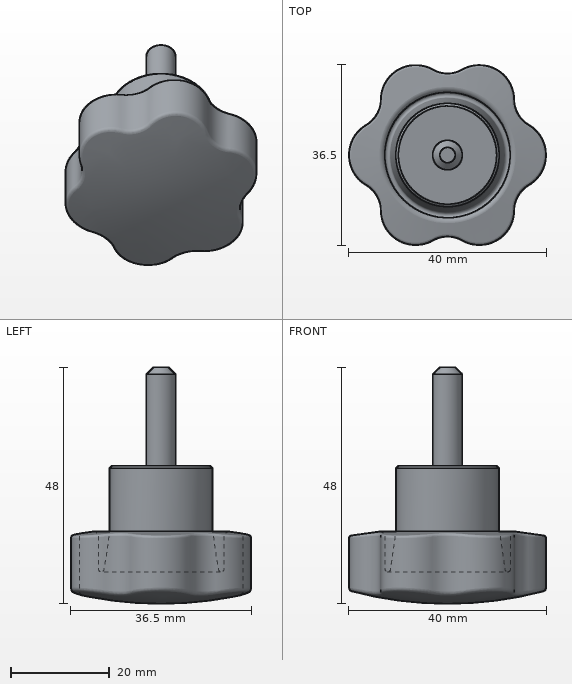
import cadquery as cq
import math

LOBE_COUNT = 6
LOBE_CENTRE_RADIUS = 12.9
LOBE_RADIUS = 7.08
VALLEY_RADIUS = 6.0
TIP_RADIUS = LOBE_CENTRE_RADIUS + LOBE_RADIUS

RIM_TOP_Z = 14.7
TIP_TOP_Z = 13.85
TIP_BOTTOM_Z = 2.7
TOP_EDGE_FILLET = 0.6
BOTTOM_EDGE_FILLET = 0.8

RECESS_RADIUS = 25.45 / 2
RECESS_LIP = 1.1
RECESS_WALL_BOTTOM_Z = 7.1

HUB_RADIUS = 21.0 / 2
HUB_BASE_Z = 14.9
HUB_TOP_Z = 28.05
HUB_CHAMFER = 0.55
FOOT_RADIUS = 11.6

PIN_RADIUS = 6.0 / 2
PIN_TOP_Z = 48.0
PIN_CHAMFER = 1.45


def polar(radius, angle):
    return radius * math.cos(angle), radius * math.sin(angle)


def star_outline():
    """Convex lobe arcs joined tangentially by concave valley arcs."""
    half_pitch = math.pi / LOBE_COUNT
    centre_offset = LOBE_CENTRE_RADIUS * math.sin(half_pitch)
    centre_spacing = LOBE_RADIUS + VALLEY_RADIUS
    valley_centre_radius = LOBE_CENTRE_RADIUS * math.cos(half_pitch) + math.sqrt(
        centre_spacing**2 - centre_offset**2
    )
    valley_floor_radius = valley_centre_radius - VALLEY_RADIUS

    valley_x, valley_y = polar(valley_centre_radius, half_pitch)
    share = LOBE_RADIUS / centre_spacing
    tangent_x = LOBE_CENTRE_RADIUS + share * (valley_x - LOBE_CENTRE_RADIUS)
    tangent_y = share * valley_y
    tangent_radius = math.hypot(tangent_x, tangent_y)
    tangent_angle = math.atan2(tangent_y, tangent_x)

    outline = cq.Workplane("XY").moveTo(*polar(tangent_radius, -tangent_angle))
    for lobe in range(LOBE_COUNT):
        lobe_angle = 2 * half_pitch * lobe
        next_lobe_angle = lobe_angle + 2 * half_pitch
        outline = outline.threePointArc(
            polar(TIP_RADIUS, lobe_angle),
            polar(tangent_radius, lobe_angle + tangent_angle),
        ).threePointArc(
            polar(valley_floor_radius, lobe_angle + half_pitch),
            polar(tangent_radius, next_lobe_angle - tangent_angle),
        )
    return outline.close()


def crowned_envelope():
    """Revolved body with a domed underside and a conical top."""
    overhang = 3.85
    envelope_radius = TIP_RADIUS + overhang
    dome_radius = (TIP_RADIUS**2 + TIP_BOTTOM_Z**2) / (2 * TIP_BOTTOM_Z)

    def dome_z(radius):
        return dome_radius - math.sqrt(dome_radius**2 - radius**2)

    lip_radius = RECESS_RADIUS + RECESS_LIP
    slope = (RIM_TOP_Z - TIP_TOP_Z) / (TIP_RADIUS - lip_radius)
    envelope_top_z = RIM_TOP_Z - slope * (envelope_radius - lip_radius)
    return (
        cq.Workplane("XZ")
        .moveTo(0, 0)
        .threePointArc(
            (envelope_radius / 2, dome_z(envelope_radius / 2)),
            (envelope_radius, dome_z(envelope_radius)),
        )
        .lineTo(envelope_radius, envelope_top_z)
        .lineTo(lip_radius, RIM_TOP_Z)
        .lineTo(0, RIM_TOP_Z)
        .close()
        .revolve(360, (0, 0), (0, 1))
    )


def star_wheel():
    prism = star_outline().extrude(RIM_TOP_Z)
    wheel = prism.intersect(crowned_envelope())
    rim_edges = "not(#Z or %CIRCLE or %LINE)"
    mid_height = RIM_TOP_Z / 2
    reach = 2 * TIP_RADIUS
    lower_half = cq.selectors.BoxSelector((-reach, -reach, -0.5), (reach, reach, mid_height))
    upper_half = cq.selectors.BoxSelector((-reach, -reach, mid_height), (reach, reach, RIM_TOP_Z))
    bottom_rounded = wheel.edges(rim_edges).edges(lower_half).fillet(BOTTOM_EDGE_FILLET)
    return bottom_rounded.edges(rim_edges).edges(upper_half).fillet(TOP_EDGE_FILLET)


def recess():
    """Round recess with a rounded lip and a half-round floor groove, revolved as a cutting body."""
    lip_radius = RECESS_RADIUS + RECESS_LIP
    lip_start_z = RIM_TOP_Z - RECESS_LIP
    lip_diagonal = RECESS_LIP * math.sqrt(0.5)
    groove_radius = (RECESS_RADIUS - FOOT_RADIUS) / 2
    return (
        cq.Workplane("XZ")
        .moveTo(0, RECESS_WALL_BOTTOM_Z)
        .lineTo(FOOT_RADIUS, RECESS_WALL_BOTTOM_Z)
        .threePointArc(
            (FOOT_RADIUS + groove_radius, RECESS_WALL_BOTTOM_Z - groove_radius),
            (RECESS_RADIUS, RECESS_WALL_BOTTOM_Z),
        )
        .lineTo(RECESS_RADIUS, lip_start_z)
        .threePointArc(
            (lip_radius - lip_diagonal, lip_start_z + lip_diagonal),
            (lip_radius, RIM_TOP_Z),
        )
        .lineTo(0, RIM_TOP_Z)
        .close()
        .revolve(360, (0, 0), (0, 1))
    )


def hub_and_pin():
    return (
        cq.Workplane("XZ")
        .moveTo(0, RECESS_WALL_BOTTOM_Z)
        .lineTo(FOOT_RADIUS, RECESS_WALL_BOTTOM_Z)
        .lineTo(HUB_RADIUS, HUB_BASE_Z)
        .lineTo(HUB_RADIUS, HUB_TOP_Z - HUB_CHAMFER)
        .lineTo(HUB_RADIUS - HUB_CHAMFER, HUB_TOP_Z)
        .lineTo(PIN_RADIUS, HUB_TOP_Z)
        .lineTo(PIN_RADIUS, PIN_TOP_Z - PIN_CHAMFER)
        .lineTo(PIN_RADIUS - PIN_CHAMFER, PIN_TOP_Z)
        .lineTo(0, PIN_TOP_Z)
        .close()
        .revolve(360, (0, 0), (0, 1))
    )


result = star_wheel().cut(recess()).union(hub_and_pin())